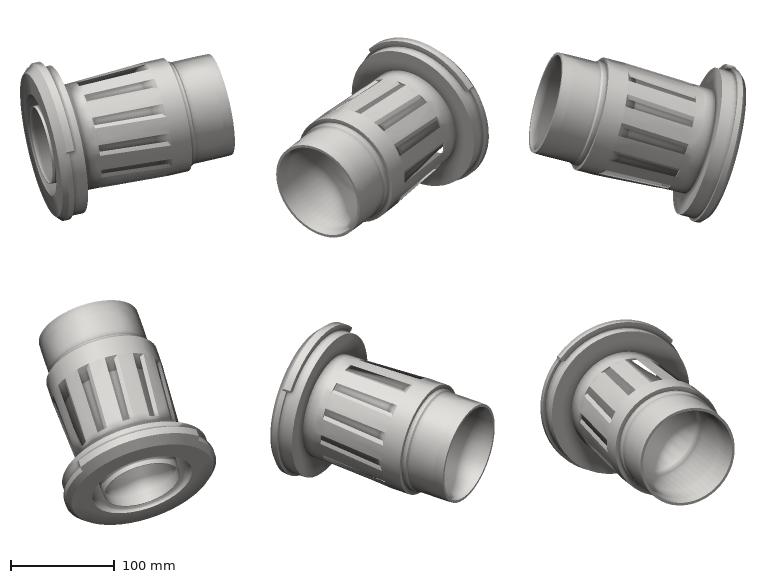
import cadquery as cq
import math

LENGTH = 180.0

RIM_RADIUS = 76.1
RIM_CHAMFER = 5.0
RIM_END = 10.5
FACE_RADIUS = RIM_RADIUS - RIM_CHAMFER
FLANGE_RADIUS = 146.2 / 2
FLANGE_END = 25.2

KEY_RADIUS = 79.0
KEY_END = 15.5
KEY_WIDTH = 118.8
KEY_BASE = 48.8
KEY_CORNER = 1.3

NECK_RADIUS = 104.4 / 2
NECK_END = 36.5
BAND_RADIUS = 112.0 / 2
BAND_START = 114.8
BAND_END = 135.2
SHELL_WALL = 2.0

MOUTH_RADIUS = 100.6 / 2
MOUTH_STRAIGHT_END = 3.0
THROAT_RADIUS = 100.0 / 2
THROAT_START = 15.8
THROAT_END = 32.4

STEP_RADIUS = 103.3 / 2
STEP_END = 139.5
TAIL_RADIUS = 100.6 / 2
TAIL_START = 141.1
TAIL_TIP_RADIUS = 100.0 / 2
TAIL_TIP_START = 170.0

TUBE_BORE_RADIUS = 75.0 / 2
TUBE_TIP_RADIUS = 38.3
TUBE_CONE_START = 30.6
TUBE_WALL = 2.2
TAIL_BORE_RADIUS = 94.7 / 2

STOP_START = 103.7
STOP_START_RADIUS = 46.5
STOP_END = 115.2
STOP_END_RADIUS = BAND_RADIUS + 0.2

SLOT_COUNT = 12
SLOT_START = 44.8
SLOT_START_ANGLES = (-6.5, 5.4)
SLOT_END_ANGLES = (-3.3, 9.9)
SLOT_SLANT = 4.0

OVERRUN = 1.8


def revolve(points):
    """Revolve a closed (radius, y) profile about the Y axis."""
    return cq.Workplane("XY").polyline(points).close().revolve(360, (0, 0, 0), (0, 1, 0))


def make_body():
    """Solid outer form of the flange, shell and tail."""
    return revolve([
        (0, 0),
        (FACE_RADIUS, 0),
        (RIM_RADIUS, RIM_CHAMFER),
        (RIM_RADIUS, RIM_END),
        (FLANGE_RADIUS, RIM_END),
        (FLANGE_RADIUS, FLANGE_END),
        (NECK_RADIUS, FLANGE_END),
        (NECK_RADIUS, NECK_END),
        (BAND_RADIUS, BAND_START),
        (BAND_RADIUS, BAND_END),
        (STEP_RADIUS, BAND_END),
        (STEP_RADIUS, STEP_END),
        (TAIL_RADIUS, TAIL_START),
        (TAIL_RADIUS, TAIL_TIP_START),
        (TAIL_TIP_RADIUS, LENGTH),
        (0, LENGTH),
    ])


def make_key():
    """Upper part of a chamfered disc, kept between two sides and above a flat base."""
    disc = revolve([
        (0, 0),
        (FACE_RADIUS, 0),
        (KEY_RADIUS, KEY_RADIUS - FACE_RADIUS),
        (KEY_RADIUS, KEY_END),
        (0, KEY_END),
    ])
    window = (
        cq.Workplane("XY", origin=(0, 0, KEY_BASE))
        .box(KEY_WIDTH, KEY_END, KEY_RADIUS - KEY_BASE, centered=(True, False, False))
        .edges("|Y and <Z")
        .chamfer(KEY_CORNER)
    )
    return disc.intersect(window)


def make_gap():
    """Ring-shaped space between the inner tube and the shell, running past the stop cone."""
    return revolve([
        (TUBE_TIP_RADIUS, 0),
        (MOUTH_RADIUS, 0),
        (MOUTH_RADIUS, MOUTH_STRAIGHT_END),
        (THROAT_RADIUS, THROAT_START),
        (THROAT_RADIUS, THROAT_END),
        (BAND_RADIUS - SHELL_WALL, BAND_START),
        (STOP_START_RADIUS, BAND_START),
        (STOP_START_RADIUS, STOP_START),
        (TUBE_BORE_RADIUS + TUBE_WALL, TUBE_CONE_START),
    ])


def on_circle(radius, y, angle):
    """Point at an angle measured from +Z towards +X."""
    turn = math.radians(angle)
    return cq.Vector(radius * math.sin(turn), y, radius * math.cos(turn))


def slot_section(y):
    """Four-cornered slot outline at Y, with slanted sides that pass through the shell wall."""
    shell_rise = (y - NECK_END) / (BAND_START - NECK_END)
    shell_radius = NECK_RADIUS + shell_rise * (BAND_RADIUS - NECK_RADIUS)
    along = (y - SLOT_START) / (BAND_START - SLOT_START)
    outside = -OVERRUN
    inside = SHELL_WALL + OVERRUN
    corners = []
    for side, depths in enumerate([(outside, inside), (inside, outside)]):
        angle = SLOT_START_ANGLES[side] + along * (SLOT_END_ANGLES[side] - SLOT_START_ANGLES[side])
        outer = on_circle(shell_radius, y, angle)
        inner = on_circle(shell_radius - SHELL_WALL, y, angle - SLOT_SLANT)
        for depth in depths:
            corners.append(outer + (inner - outer) * (depth / SHELL_WALL))
    return cq.Wire.makePolygon(corners, close=True)


def make_slot():
    sections = [slot_section(SLOT_START), slot_section(STOP_END + OVERRUN)]
    return cq.Workplane(obj=cq.Solid.makeLoft(sections, True))


def make_stop():
    """Everything in front of the stop cone, which is extended well outside the shell."""
    slope = (STOP_END_RADIUS - STOP_START_RADIUS) / (STOP_END - STOP_START)
    outside = 2 * BAND_RADIUS
    outside_end = STOP_START + (outside - STOP_START_RADIUS) / slope
    return revolve([
        (0, -OVERRUN),
        (outside, -OVERRUN),
        (outside, outside_end),
        (STOP_START_RADIUS, STOP_START),
        (0, STOP_START),
    ])


def make_openings():
    """Gap and slots together, both ending at the stop cone."""
    openings = make_gap()
    slot = make_slot()
    for index in range(SLOT_COUNT):
        angle = index * 360 / SLOT_COUNT
        openings = openings.union(slot.rotate((0, 0, 0), (0, 1, 0), angle))
    return openings.intersect(make_stop())


def make_bore():
    """Through bore: straight, then conical, then flared at 45 degrees into the tail."""
    cone_end_radius = STOP_START_RADIUS - TUBE_WALL
    flare = TAIL_BORE_RADIUS - cone_end_radius
    return revolve([
        (0, 0),
        (TUBE_BORE_RADIUS, 0),
        (TUBE_BORE_RADIUS, TUBE_CONE_START),
        (cone_end_radius, STOP_START),
        (TAIL_BORE_RADIUS, STOP_START + flare),
        (TAIL_BORE_RADIUS, LENGTH),
        (0, LENGTH),
    ])


result = make_body().union(make_key()).cut(make_openings()).cut(make_bore())